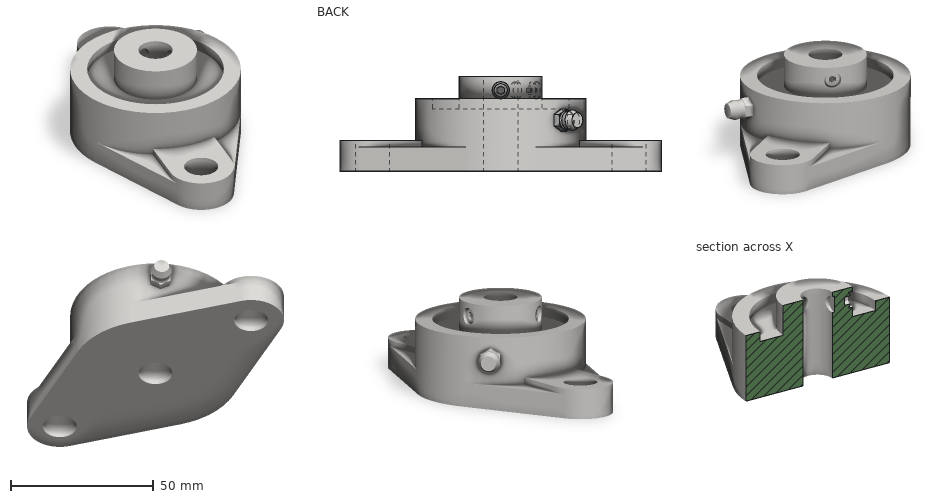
import cadquery as cq
import math

overall_length = 113
lug_radius = 11.5
lug_offset = overall_length / 2 - lug_radius
flange_height = 8.6
pad_height = 10.8
bolt_hole_diameter = 12.0

housing_diameter = 60.0
housing_radius = housing_diameter / 2
housing_height = 25.5
recess_diameter = 48.0
recess_depth = 3.7
collar_diameter = 29.2
collar_radius = collar_diameter / 2
overall_height = 33.3
bore_diameter = 12.0

screw_angles = (90, 210)
screw_height = 28.5
screw_hole_diameter = 6.0
screw_face_radius = 13.5
screw_tip_radius = 6.8
screw_chamfer = 0.7
socket_across_corners = 2.9
socket_depth = 2.3

nipple_angle = 135
nipple_height = 18.0
nipple_root = 27.1
nipple_hex_end = 32.7
nipple_hex_corners = 7.9
nipple_hex_face_diameter = 7.0
nipple_hex_bevel = 0.3
nipple_shoulder_diameter = 6.8
nipple_neck_end = 33.5
nipple_neck_diameter = 6.3
nipple_head_end = 35.6
nipple_head_diameter = 7.2
nipple_tip_end = 38.1
nipple_tip_diameter = 5.3


def radial_plane(angle, distance, height):
    """Plane facing outwards at the given angle and distance from the housing axis."""
    direction = cq.Vector(math.cos(math.radians(angle)), math.sin(math.radians(angle)), 0)
    origin = direction * distance + cq.Vector(0, 0, height)
    return cq.Plane(origin=origin, xDir=(0, 0, 1), normal=direction)


def make_flange():
    tangent_sine = (housing_radius - lug_radius) / lug_offset
    tangent_cosine = math.sqrt(1 - tangent_sine**2)
    lug_x = lug_offset + lug_radius * tangent_sine
    lug_y = lug_radius * tangent_cosine
    side_x = housing_radius * tangent_sine
    side_y = housing_radius * tangent_cosine
    outline = (
        cq.Workplane("XY")
        .moveTo(-side_x, side_y)
        .lineTo(side_x, side_y)
        .lineTo(lug_x, lug_y)
        .threePointArc((overall_length / 2, 0), (lug_x, -lug_y))
        .lineTo(side_x, -side_y)
        .lineTo(-side_x, -side_y)
        .lineTo(-lug_x, -lug_y)
        .threePointArc((-overall_length / 2, 0), (-lug_x, lug_y))
        .close()
    )
    flange = outline.extrude(flange_height)
    pads = cq.Workplane("XY").slot2D(overall_length, 2 * lug_radius).extrude(pad_height)
    return flange.union(pads)


def make_housing():
    housing = cq.Workplane("XY").circle(housing_radius).extrude(housing_height)
    recess_floor = housing_height - recess_depth
    recess = (
        cq.Workplane("XY")
        .workplane(offset=recess_floor)
        .circle(recess_diameter / 2)
        .extrude(recess_depth)
    )
    collar = cq.Workplane("XY").circle(collar_radius).extrude(overall_height)
    return housing.cut(recess).union(collar)


def make_screw_hole(angle):
    plane = radial_plane(angle, 0, screw_height)
    return cq.Workplane(plane).circle(screw_hole_diameter / 2).extrude(collar_radius)


def make_set_screw(angle):
    screw = (
        cq.Workplane(radial_plane(angle, screw_tip_radius, screw_height))
        .circle(screw_hole_diameter / 2)
        .extrude(screw_face_radius - screw_tip_radius)
        .faces(cq.selectors.DirectionMinMaxSelector(radial_plane(angle, 0, 0).zDir))
        .chamfer(screw_chamfer)
    )
    socket = (
        cq.Workplane(radial_plane(angle, screw_face_radius, screw_height))
        .polygon(6, socket_across_corners)
        .extrude(-socket_depth)
    )
    return screw.cut(socket)


def revolve_on_nipple_axis(profile):
    """Revolve (diameter, distance from the housing axis) pairs about the nipple axis."""
    points = [(diameter / 2, distance) for diameter, distance in profile]
    axis_start = (0, profile[0][1])
    axis_end = (0, profile[-1][1])
    return (
        cq.Workplane("XZ")
        .polyline([axis_start, *points, axis_end])
        .close()
        .revolve(360, (0, 0), (0, 1))
        .rotate((0, 0, 0), (0, 1, 0), 90)
        .rotate((0, 0, 0), (0, 0, 1), nipple_angle)
        .translate((0, 0, nipple_height))
    )


def make_nipple():
    hexagon = (
        cq.Workplane(radial_plane(nipple_angle, nipple_root, nipple_height))
        .polygon(6, nipple_hex_corners)
        .extrude(nipple_hex_end - nipple_root)
    )
    hex_blank = revolve_on_nipple_axis([
        (nipple_hex_corners, nipple_root),
        (nipple_hex_corners, nipple_hex_end - nipple_hex_bevel),
        (nipple_hex_face_diameter, nipple_hex_end),
    ])
    head = revolve_on_nipple_axis([
        (nipple_shoulder_diameter, nipple_root),
        (nipple_shoulder_diameter, nipple_hex_end),
        (nipple_neck_diameter, nipple_neck_end),
        (nipple_head_diameter, nipple_head_end),
        (nipple_tip_diameter, nipple_tip_end),
    ])
    return hexagon.intersect(hex_blank).union(head)


result = make_flange().union(make_housing()).union(make_nipple())

bolt_holes = (
    cq.Workplane("XY")
    .pushPoints([(-lug_offset, 0), (lug_offset, 0)])
    .circle(bolt_hole_diameter / 2)
    .extrude(pad_height)
)
bore = cq.Workplane("XY").circle(bore_diameter / 2).extrude(overall_height)
result = result.cut(bolt_holes).cut(bore)

for screw_angle in screw_angles:
    result = result.cut(make_screw_hole(screw_angle))
    result = result.union(make_set_screw(screw_angle))